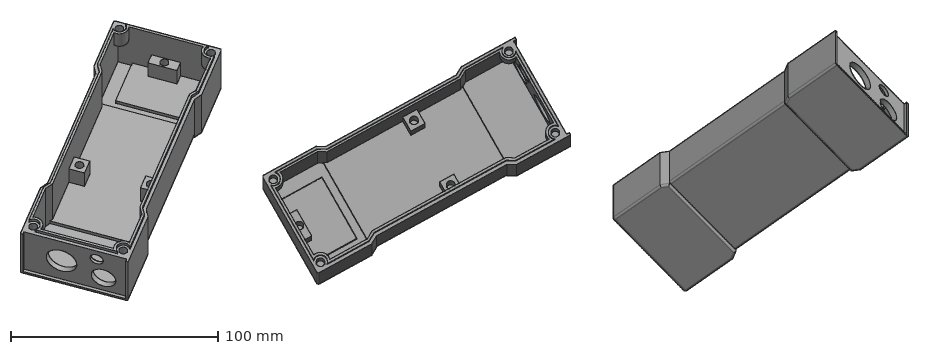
import cadquery as cq
import math

LENGTH = 140.0
END_WIDTH = 55.0
WAIST_WIDTH = 50.4
HEIGHT = 31.5
LIP_HEIGHT = 1.7
LIP_THICKNESS = 1.3
RIM_Z = HEIGHT - LIP_HEIGHT
EDGE_RADIUS = 1.0
BOTTOM_RADIUS = 1.1

TAPER_START = 30.0
TAPER_END = 33.9

SIDE_WALL = 3.0
BACK_WALL = 2.7
PANEL_WALL = 3.0
FLOOR = 2.5
WAIST_RISE = 2.0
FLOOR_STEP_INSET = 31.5

PANEL_RECESS = 1.5
PANEL_FRAME = 1.3

SMALL_HOLE = (10.9, 23.5, 6.7)
PANEL_HOLES = [(-7.0, 15.3, 15.5), (14.4, 10.6, 12.5), SMALL_HOLE]

COUNTERBORE = 9.8
COUNTERBORE_DEPTH = 1.4

SCREW_HOLE = 4.2
POST_SEAT = 6.7
POST_DEPTH = 7.8
SCREW_DEPTH = 7.0
BACK_POST_X = 23.4
BACK_POST_INSET = 3.9
FRONT_POST_X = 23.0
FRONT_POST_INSET = 6.0

BLOCK_TOP = 14.7
SIDE_BLOCK_INNER_X = 14.3
SIDE_BLOCK_LENGTH = 7.8
SIDE_BLOCK_Y = -8.8
SIDE_BLOCK_HOLE_X = 18.2
BACK_BLOCK_WIDTH = 14.8
BACK_BLOCK_INSET = 8.0
BACK_BLOCK_HOLE_INSET = 5.2
PAD_WIDTH = 34.6
PAD_INSET = 27.5
PAD_HEIGHT = 2.0

BACK_Y = LENGTH / 2
FRONT_Y = -LENGTH / 2
CAVITY_BACK_Y = BACK_Y - BACK_WALL
CAVITY_FRONT_Y = FRONT_Y + PANEL_RECESS + PANEL_WALL
POST_DIAMETER = POST_SEAT + 2 * LIP_THICKNESS
WAIST_FLOOR_Z = FLOOR + WAIST_RISE
TAPER_ANGLE = math.atan2((END_WIDTH - WAIST_WIDTH) / 2, TAPER_END - TAPER_START)


def taper_shift(inset):
    """Shift of the taper corners towards the ends for an outline set in by inset."""
    return inset * math.tan(TAPER_ANGLE / 2)


def box_between(x0, x1, y0, y1, z0, z1):
    return cq.Workplane("XY").box(x1 - x0, y1 - y0, z1 - z0, centered=False).translate((x0, y0, z0))


def cylinder(x, y, diameter, z0, z1):
    return cq.Workplane("XY", origin=(x, y, z0)).circle(diameter / 2).extrude(z1 - z0)


def waisted_prism(inset, front_y, back_y, z0, z1):
    """Waisted outline with its sides set in by inset, extruded from z0 to z1."""
    wide = END_WIDTH / 2 - inset
    narrow = WAIST_WIDTH / 2 - inset
    start = LENGTH / 2 - TAPER_START + taper_shift(inset)
    end = LENGTH / 2 - TAPER_END + taper_shift(inset)
    right = [(wide, front_y), (wide, -start), (narrow, -end), (narrow, end), (wide, start), (wide, back_y)]
    left = [(-x, y) for x, y in reversed(right)]
    return cq.Workplane("XY", origin=(0, 0, z0)).polyline(right + left).close().extrude(z1 - z0)


def outer_block():
    """Solid block up to the rim, with rounded vertical corners at the back."""
    block = waisted_prism(0, FRONT_Y, BACK_Y, 0, RIM_Z)
    return block.faces(">Y").edges("|Z").fillet(EDGE_RADIUS)


def outer_shell():
    """Outer block raised under the waist, with every bottom edge but the front one rounded."""
    waist_end = LENGTH / 2 - TAPER_END
    body = outer_block().cut(box_between(-END_WIDTH, END_WIDTH, -waist_end, waist_end, 0, WAIST_RISE))
    feet_edges = body.faces("<Z").edges("not <Y")
    below_waist_walls = cq.selectors.BoxSelector(
        (-END_WIDTH, -waist_end, 0), (END_WIDTH, waist_end, HEIGHT / 4)
    )
    waist_edges = body.edges(below_waist_walls).edges("|Y")
    return body.newObject(feet_edges.vals() + waist_edges.vals()).fillet(BOTTOM_RADIUS)


def cavity():
    """Inside space, with a floor that steps up between the two ends."""
    full = waisted_prism(SIDE_WALL, CAVITY_FRONT_Y, CAVITY_BACK_Y, FLOOR, HEIGHT)
    step_y = LENGTH / 2 - FLOOR_STEP_INSET
    rise = box_between(-END_WIDTH, END_WIDTH, -step_y, step_y, FLOOR, WAIST_FLOOR_Z)
    return full.cut(rise)


def lip():
    """Filled outline of the lip above the rim; the cavity hollows it out."""
    front_y = CAVITY_FRONT_Y - LIP_THICKNESS
    back_y = CAVITY_BACK_Y + LIP_THICKNESS
    return waisted_prism(SIDE_WALL - LIP_THICKNESS, front_y, back_y, RIM_Z, HEIGHT)


def post_centres():
    back_y = BACK_Y - BACK_POST_INSET
    front_y = FRONT_Y + FRONT_POST_INSET
    right_side = [(BACK_POST_X, back_y), (FRONT_POST_X, front_y)]
    return [(side * x, y) for side in (-1, 1) for x, y in right_side]


def add_posts(body):
    """Corner posts whose screw seats lie at rim level, with the lip curving around them."""
    envelope = outer_block().union(lip())
    for x, y in post_centres():
        post = cylinder(x, y, POST_DIAMETER, RIM_Z - POST_DEPTH, HEIGHT)
        body = body.union(post.intersect(envelope))
    for x, y in post_centres():
        corner_x = math.copysign(END_WIDTH / 2, x)
        corner_y = math.copysign(LENGTH / 2, y)
        x0, x1 = sorted((x, corner_x))
        y0, y1 = sorted((y, corner_y))
        body = body.cut(cylinder(x, y, POST_SEAT, RIM_Z, HEIGHT))
        body = body.cut(box_between(x0, x1, y0, y1, RIM_Z, HEIGHT))
        body = body.cut(cylinder(x, y, SCREW_HOLE, RIM_Z - SCREW_DEPTH, RIM_Z))
    return body


def add_floor_blocks(body):
    wall_x = WAIST_WIDTH / 2 - SIDE_WALL
    y0 = SIDE_BLOCK_Y - SIDE_BLOCK_LENGTH / 2
    y1 = SIDE_BLOCK_Y + SIDE_BLOCK_LENGTH / 2
    for x0, x1 in ((SIDE_BLOCK_INNER_X, wall_x), (-wall_x, -SIDE_BLOCK_INNER_X)):
        body = body.union(box_between(x0, x1, y0, y1, WAIST_FLOOR_Z, BLOCK_TOP))
    back_boxes = [
        (PAD_WIDTH / 2, PAD_INSET, FLOOR + PAD_HEIGHT),
        (BACK_BLOCK_WIDTH / 2, BACK_BLOCK_INSET, BLOCK_TOP),
    ]
    for half, inset, top in back_boxes:
        body = body.union(box_between(-half, half, BACK_Y - inset, CAVITY_BACK_Y, FLOOR, top))
    holes = [
        (-SIDE_BLOCK_HOLE_X, SIDE_BLOCK_Y),
        (SIDE_BLOCK_HOLE_X, SIDE_BLOCK_Y),
        (0, BACK_Y - BACK_BLOCK_HOLE_INSET),
    ]
    for x, y in holes:
        body = body.cut(cylinder(x, y, SCREW_HOLE, WAIST_FLOOR_Z, BLOCK_TOP))
    return body


def panel_bore(x, z, diameter, depth):
    """Bore running outwards from the inner face of the front panel."""
    return cq.Workplane("XZ", origin=(x, CAVITY_FRONT_Y, z)).circle(diameter / 2).extrude(depth)


def cut_front_panel(body):
    half = END_WIDTH / 2 - PANEL_FRAME
    body = body.cut(box_between(-half, half, FRONT_Y, FRONT_Y + PANEL_RECESS, PANEL_FRAME, HEIGHT))
    for x, z, diameter in PANEL_HOLES:
        body = body.cut(panel_bore(x, z, diameter, PANEL_WALL))
    small_x, small_z, _ = SMALL_HOLE
    return body.cut(panel_bore(small_x, small_z, COUNTERBORE, COUNTERBORE_DEPTH))


result = outer_shell().union(lip()).cut(cavity())
result = add_posts(result)
result = add_floor_blocks(result)
result = cut_front_panel(result)